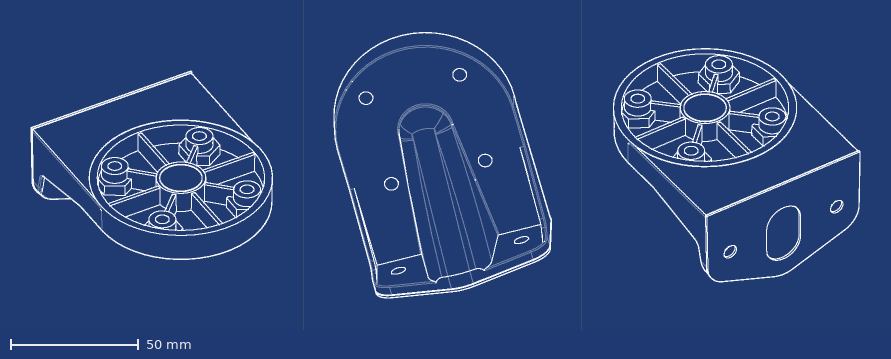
import cadquery as cq
import math

ARM_ANGLE = -42.2
HUB_TO_WALL = 55.9
RIM_RADIUS = 35.9
DRAFT = 1.0

CORNER_DEPTH = 34.3
APEX_DEPTH = 46.8
WALL_HEIGHT = 46.0
CORNER_RADIUS = 10.1
GASKET_THICKNESS = 1.0
FOOT_INSET = 0.7

PLATE_HEIGHT = 12.6
PLATE_DROP = 0.2
RIM_SKIRT = 2.0
GUSSET_START = 38.7
GUSSET_ELBOW = 7.3
GUSSET_ELBOW_DEPTH = 18.9
GUSSET_FOOT_DEPTH = 29.9
GUSSET_WIDTH = 2.3
FLANGE_THICKNESS = 4.8
GUSSET_RADIUS = 3.5
EDGE_ROUND = 0.5
TOP_BEVEL_WIDTH = 0.3
TOP_BEVEL_HEIGHT = 1.1

RECESS_RADIUS = 32.7
RECESS_DEPTH = 9.0
RIB_WIDTH = 1.5
RIB_DROP = 0.8
RIB_COUNT = 8
HUB_RADIUS = 9.7
HUB_DISH_RADIUS = 8.3
HUB_DISH_DEPTH = 0.3

BOSS_COUNT = 4
BOSS_CIRCLE_RADIUS = 26.9
BOSS_RADIUS = 5.3
BOSS_HOLE_DIAMETER = 5.4
HEX_CIRCUMRADIUS = 8.1
HEX_HEIGHT = 4.6

WALL_HOLE_DIAMETER = 5.8
WALL_HOLE_DEPTH = 23.0
WALL_HOLE_OFFSET = 24.9
SLOT_WIDTH = 15.8
SLOT_LENGTH = 26.1
SLOT_DEPTH = 25.0

DUCT_TOP = 11.2
DUCT_END_RADIUS = 10.4
DUCT_WALL_TOP_HALF = 16.0
DUCT_WALL_FOOT_HALF = 10.5
DUCT_FLOOR_DEPTH = 25.0
DUCT_SLOPE = 22.4
DUCT_FILLET = 9.1
DUCT_BLEND = 20.3

WALL_FOOT_HALF = RIM_RADIUS - CORNER_DEPTH * math.tan(math.radians(DRAFT))
APEX_ANGLE = math.atan2(APEX_DEPTH - CORNER_DEPTH, WALL_FOOT_HALF)
APEX_RADIUS = (APEX_DEPTH - WALL_HEIGHT) / (1 / math.cos(APEX_ANGLE) - 1)
FLANGE_BACK = -HUB_TO_WALL + GASKET_THICKNESS
FLANGE_FACE = -HUB_TO_WALL + FLANGE_THICKNESS
ARM_REACH = HUB_TO_WALL + RIM_RADIUS


def wall_prism(start, length, inset=0):
    """Wall outline with rounded lower corners and tip, raised by the inset, extruded along X."""
    corner_z = inset - CORNER_DEPTH
    outline = [
        (-RIM_RADIUS, 0),
        (RIM_RADIUS, 0),
        (WALL_FOOT_HALF, corner_z),
        (0, inset - APEX_DEPTH),
        (-WALL_FOOT_HALF, corner_z),
    ]
    prism = cq.Workplane("YZ", origin=(start, 0, 0)).polyline(outline).close().extrude(length)
    prism = prism.edges("|X").edges("<Z").fillet(APEX_RADIUS)
    for side in (-1, 1):
        corner = (start + length / 2, side * WALL_FOOT_HALF, corner_z)
        prism = prism.edges(cq.NearestToPointSelector(corner)).fillet(CORNER_RADIUS)
    return prism


def wall_holes():
    """Two screw holes through the gasket and the flange."""
    return (
        cq.Workplane("YZ", origin=(-HUB_TO_WALL, 0, -WALL_HOLE_DEPTH))
        .pushPoints([(-WALL_HOLE_OFFSET, 0), (WALL_HOLE_OFFSET, 0)])
        .circle(WALL_HOLE_DIAMETER / 2)
        .extrude(GUSSET_START)
    )


def side_profile(outline, width):
    """Symmetric solid of the given width from an outline in the XZ plane."""
    return cq.Workplane("XZ").polyline(outline).close().extrude(width / 2, both=True)


def outer_lower_edges(body):
    """Edges where the outside of the arm meets its underside, the gusset tops and the flange face."""
    half_gap = RIM_RADIUS - GUSSET_WIDTH
    chosen = []
    for edge in body.edges().vals():
        middle = edge.positionAt(0.5)
        span = edge.BoundingBox()
        is_low = span.zmax < 0.1 - PLATE_HEIGHT
        is_forward = span.xmin > FLANGE_FACE - 0.1
        is_rim_arc = span.xmax > RIM_RADIUS / 2
        is_gusset_side = abs(middle.y) > half_gap + 0.1 and span.ylen < GUSSET_WIDTH / 2
        is_flange_tip = span.zmax < 0.1 - GUSSET_FOOT_DEPTH and span.zlen > 0.1
        if is_low and is_forward and (is_rim_arc or is_gusset_side or is_flange_tip):
            chosen.append(edge)
    return chosen



def arm():
    """Plate, wall flange and two side gussets, trimmed to the drafted plan and the wall outline."""
    wall = -HUB_TO_WALL
    plate_and_flange = side_profile(
        [
            (FLANGE_BACK, -PLATE_DROP),
            (RIM_RADIUS, -PLATE_DROP),
            (RIM_RADIUS, -PLATE_HEIGHT),
            (FLANGE_FACE, -PLATE_HEIGHT),
            (FLANGE_FACE, -APEX_DEPTH),
            (FLANGE_BACK, -APEX_DEPTH),
        ],
        2 * RIM_RADIUS,
    )
    gussets = side_profile(
        [
            (FLANGE_BACK, -PLATE_DROP),
            (wall + GUSSET_START, -PLATE_DROP),
            (wall + GUSSET_START, -PLATE_HEIGHT),
            (wall + GUSSET_ELBOW, -GUSSET_ELBOW_DEPTH),
            (FLANGE_FACE, -GUSSET_FOOT_DEPTH),
            (FLANGE_BACK, -GUSSET_FOOT_DEPTH),
        ],
        2 * RIM_RADIUS,
    )
    elbow = (wall + GUSSET_ELBOW, 0, -GUSSET_ELBOW_DEPTH)
    gussets = gussets.edges(cq.NearestToPointSelector(elbow)).fillet(GUSSET_RADIUS)
    gap = cq.Workplane("XY").box(4 * ARM_REACH, 2 * (RIM_RADIUS - GUSSET_WIDTH), 4 * ARM_REACH)

    plan = (
        cq.Workplane("XY")
        .moveTo(-ARM_REACH, -RIM_RADIUS)
        .lineTo(0, -RIM_RADIUS)
        .threePointArc((RIM_RADIUS, 0), (0, RIM_RADIUS))
        .lineTo(-ARM_REACH, RIM_RADIUS)
        .close()
        .extrude(-APEX_DEPTH, taper=DRAFT)
    )
    body = plate_and_flange.union(gussets.cut(gap)).intersect(plan)
    body = body.intersect(wall_prism(-ARM_REACH, 2 * ARM_REACH, FOOT_INSET))
    return body.newObject(outer_lower_edges(body)).fillet(EDGE_ROUND)


def top_bevels():
    """Wedges that bevel the two straight top edges of the arm."""
    wedge = (
        cq.Workplane("YZ", origin=(FLANGE_BACK, 0, -PLATE_DROP))
        .polyline([(RIM_RADIUS - TOP_BEVEL_WIDTH, 0), (RIM_RADIUS, 0), (RIM_RADIUS, -TOP_BEVEL_HEIGHT)])
        .close()
        .extrude(-FLANGE_BACK)
    )
    return wedge.union(wedge.mirror("XZ"))


def rim():
    """Drafted disc that stands slightly above the arm and ends inside it."""
    return cq.Workplane("XY").circle(RIM_RADIUS).extrude(-RIM_SKIRT, taper=DRAFT)


def duct():
    """Bulge from the wall to the hub with a sloping, V-shaped and rounded bottom."""
    height = APEX_DEPTH
    wall_section = [
        (-DUCT_WALL_TOP_HALF, 0),
        (DUCT_WALL_TOP_HALF, 0),
        (DUCT_WALL_FOOT_HALF, -height),
        (-DUCT_WALL_FOOT_HALF, -height),
    ]
    body = (
        cq.Workplane("YZ", origin=(FLANGE_BACK, 0, -DUCT_TOP))
        .polyline(wall_section)
        .close()
        .workplane(offset=-FLANGE_BACK)
        .center(0, -height / 2)
        .rect(2 * DUCT_END_RADIUS, height)
        .loft(ruled=True)
    )
    end = cq.Workplane("XY", origin=(0, 0, -DUCT_TOP)).circle(DUCT_END_RADIUS).extrude(-height)
    slope = (
        wall_prism(-2 * ARM_REACH, 4 * ARM_REACH)
        .translate((0, 0, WALL_HEIGHT - DUCT_FLOOR_DEPTH))
        .rotate((0, 0, -DUCT_FLOOR_DEPTH), (0, 1, -DUCT_FLOOR_DEPTH), -DUCT_SLOPE)
    )
    body = body.union(end).intersect(slope)
    side_blend = cq.selectors.BoxSelector((-1, -RIM_RADIUS, -ARM_REACH), (1, RIM_RADIUS, 0))
    body = body.edges("|Z").edges(side_blend).fillet(DUCT_BLEND)
    below_top = cq.selectors.BoxSelector(
        (FLANGE_BACK + 1, -RIM_RADIUS, -ARM_REACH), (RIM_RADIUS, RIM_RADIUS, -DUCT_TOP - 1)
    )
    body = body.edges(below_top).edges("not %LINE").fillet(DUCT_FILLET)
    return body.intersect(wall_prism(-ARM_REACH, 2 * ARM_REACH, FOOT_INSET))


def duct_root_edges(body):
    """Edges where the duct comes out of the flat underside of the plate."""
    chosen = []
    for edge in body.edges().vals():
        span = edge.BoundingBox()
        in_underside = abs(span.zmin + PLATE_HEIGHT) < 0.05 and abs(span.zmax + PLATE_HEIGHT) < 0.05
        is_on_duct = max(-span.ymin, span.ymax) < DUCT_WALL_TOP_HALF and span.xmin > FLANGE_FACE - 0.1
        if in_underside and is_on_duct:
            chosen.append(edge)
    return chosen


def recess():
    """Round pocket in the top of the rim."""
    return cq.Workplane("XY").circle(RECESS_RADIUS).extrude(-RECESS_DEPTH, taper=DRAFT)


def hub():
    """Central post with a shallow dish in its top."""
    post = cq.Workplane("XY").circle(HUB_RADIUS).extrude(-RECESS_DEPTH, taper=-DRAFT)
    dish = cq.Workplane("XY").circle(HUB_DISH_RADIUS).extrude(-HUB_DISH_DEPTH)
    return post.cut(dish)


def rib(angle):
    """Radial web from the hub to a screw boss or to the rim."""
    reach = BOSS_CIRCLE_RADIUS if angle % 90 else (RECESS_RADIUS + RIM_RADIUS) / 2
    start = (HUB_DISH_RADIUS + HUB_RADIUS) / 2
    return (
        cq.Workplane("XY", origin=(0, 0, -RIB_DROP))
        .center((start + reach) / 2, 0)
        .rect(reach - start, RIB_WIDTH)
        .extrude(RIB_DROP - RECESS_DEPTH, taper=-DRAFT)
        .rotate((0, 0, 0), (0, 0, 1), angle)
    )


def boss(center):
    """Round screw boss on a hexagonal foot, kept inside the recess."""
    foot = (
        cq.Workplane("XY", origin=(*center, -RECESS_DEPTH))
        .polygon(6, 2 * HEX_CIRCUMRADIUS)
        .extrude(HEX_HEIGHT, taper=DRAFT)
        .intersect(cq.Workplane("XY").circle((RECESS_RADIUS + RIM_RADIUS) / 2).extrude(-RECESS_DEPTH))
    )
    post = cq.Workplane("XY", origin=(*center, -RECESS_DEPTH)).circle(BOSS_RADIUS).extrude(RECESS_DEPTH)
    return foot.union(post)


def boss_centers():
    """Positions of the screw bosses, half way between the arm axes."""
    step = 2 * math.pi / BOSS_COUNT
    return [
        (BOSS_CIRCLE_RADIUS * math.cos((i + 0.5) * step), BOSS_CIRCLE_RADIUS * math.sin((i + 0.5) * step))
        for i in range(BOSS_COUNT)
    ]


def make_bracket():
    body = arm().cut(top_bevels()).union(rim()).union(duct())
    body = body.newObject(duct_root_edges(body)).fillet(EDGE_ROUND)
    body = body.cut(recess()).union(hub())
    for i in range(RIB_COUNT):
        body = body.union(rib(i * 360 / RIB_COUNT))
    for center in boss_centers():
        body = body.union(boss(center))
    boss_holes = (
        cq.Workplane("XY").pushPoints(boss_centers()).circle(BOSS_HOLE_DIAMETER / 2).extrude(-PLATE_HEIGHT)
    )
    return body.cut(boss_holes).cut(wall_holes())


def make_gasket():
    """Thin plate between the bracket and the wall, with screw holes and a slot."""
    slot = (
        cq.Workplane("YZ", origin=(-HUB_TO_WALL, 0, -SLOT_DEPTH))
        .slot2D(SLOT_LENGTH, SLOT_WIDTH, 90)
        .extrude(GASKET_THICKNESS)
    )
    return wall_prism(-HUB_TO_WALL, GASKET_THICKNESS).cut(slot).cut(wall_holes())


def placed(body):
    """Turn a body from the local frame into its final direction."""
    return body.rotate((0, 0, 0), (0, 0, 1), ARM_ANGLE)


bracket = placed(make_bracket())
gasket = placed(make_gasket())

result = cq.Compound.makeCompound([bracket.val(), gasket.val()])